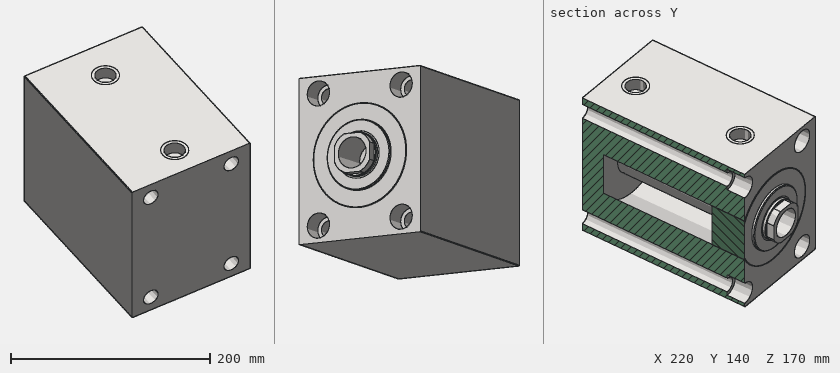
import cadquery as cq
import math


OVERALL_LENGTH = 220.0

BLOCK_LENGTH = 204.4
BLOCK_WIDTH = 140.0
BLOCK_HEIGHT = 170.0
EDGE_CHAMFER = 0.77

BOLT_SPACING_Y = 95.0
BOLT_SPACING_Z = 135.0
BOLT_HOLE_DIAMETER = 17.2
COUNTERBORE_DIAMETER = 25.5
COUNTERBORE_DEPTH = 22.0

PORT_FRONT_X = 41.8
PORT_SPACING = 131.5
PORT_POSITIONS = [PORT_FRONT_X, PORT_FRONT_X + PORT_SPACING]
PORT_DIAMETER = 21.3
PORT_DEPTH = 13.5
PORT_FEED_DIAMETER = 8.8
SPOT_FACE_DIAMETER = 28.2
SPOT_FACE_DEPTH = 0.2

GLAND_DIAMETER = 107.0
GLAND_END_X = PORT_FRONT_X
GLAND_CHAMFER = 0.7
FLANGE_DIAMETER = 72.2
FLANGE_HEIGHT = 3.3
FLANGE_CHAMFER = 0.9

BORE_DIAMETER = GLAND_DIAMETER
BORE_DEPTH = PORT_POSITIONS[-1] + PORT_FEED_DIAMETER / 2

ROD_DIAMETER = 48.5
ROD_TIP = BLOCK_LENGTH - OVERALL_LENGTH
COLLAR_DIAMETER = 45.0
COLLAR_CHAMFER = 0.7
NECK_DIAMETER = COLLAR_DIAMETER - 2 * COLLAR_CHAMFER
NECK_LENGTH = 8.5
FLAT_WIDTH = 40.0
SOCKET_DIAMETER = 31.7
SOCKET_DEPTH = 44.0
SOCKET_POINT_ANGLE = 118.0


def rod_cylinder(diameter, start_x, end_x):
    """Cylinder on the main axis between two X positions."""
    return cq.Workplane("YZ", origin=(start_x, 0, 0)).circle(diameter / 2).extrude(end_x - start_x)


def port_cutter(port_x):
    """Stepped port: shallow spot face, port bore and a feed hole that reaches the cylinder bore."""
    top = BLOCK_HEIGHT / 2
    steps = [
        (SPOT_FACE_DIAMETER, SPOT_FACE_DEPTH),
        (PORT_DIAMETER, PORT_DEPTH),
        (PORT_FEED_DIAMETER, top - ROD_DIAMETER / 2),
    ]
    cutter = cq.Workplane("XY")
    for diameter, depth in steps:
        step = cq.Workplane("XY", origin=(port_x, 0, top)).circle(diameter / 2).extrude(-depth)
        cutter = cutter.add(step)
    return cutter.combine()


def make_block():
    block = cq.Workplane("XY").box(BLOCK_LENGTH, BLOCK_WIDTH, BLOCK_HEIGHT, centered=(False, True, True))
    block = block.edges("|X").chamfer(EDGE_CHAMFER)
    block = block.cut(rod_cylinder(BORE_DIAMETER, 0, BORE_DEPTH))
    block = (
        block.faces("<X").workplane()
        .rarray(BOLT_SPACING_Y, BOLT_SPACING_Z, 2, 2)
        .cboreHole(BOLT_HOLE_DIAMETER, COUNTERBORE_DIAMETER, COUNTERBORE_DEPTH)
    )
    for port_x in PORT_POSITIONS:
        block = block.cut(port_cutter(port_x))
    return block


def make_gland():
    plug = rod_cylinder(GLAND_DIAMETER, 0, GLAND_END_X).faces("<X").chamfer(GLAND_CHAMFER)
    flange = rod_cylinder(FLANGE_DIAMETER, -FLANGE_HEIGHT, 0).faces("<X").chamfer(FLANGE_CHAMFER)
    return plug.union(flange).cut(rod_cylinder(ROD_DIAMETER, -FLANGE_HEIGHT, GLAND_END_X))


def make_socket_cutter():
    """Blind hole with a drill point in the rod tip."""
    bore_end = ROD_TIP + SOCKET_DEPTH
    radius = SOCKET_DIAMETER / 2
    point_length = radius / math.tan(math.radians(SOCKET_POINT_ANGLE / 2))
    return (
        cq.Workplane("XY")
        .moveTo(ROD_TIP, 0)
        .lineTo(ROD_TIP, radius)
        .lineTo(bore_end, radius)
        .lineTo(bore_end + point_length, 0)
        .close()
        .revolve(360, (0, 0, 0), (1, 0, 0))
    )


def make_rod():
    neck_end = ROD_TIP + NECK_LENGTH
    shaft = rod_cylinder(ROD_DIAMETER, -FLANGE_HEIGHT, BORE_DEPTH)
    collar = rod_cylinder(COLLAR_DIAMETER, neck_end, -FLANGE_HEIGHT).faces("<X").chamfer(COLLAR_CHAMFER)
    neck = rod_cylinder(NECK_DIAMETER, ROD_TIP, neck_end)
    flats = cq.Workplane("YZ", origin=(ROD_TIP, 0, 0)).rect(FLAT_WIDTH, FLAT_WIDTH).extrude(NECK_LENGTH)
    return shaft.union(collar).union(neck.intersect(flats)).cut(make_socket_cutter())


block = make_block()
gland = make_gland()
rod = make_rod()

result = cq.Compound.makeCompound([block.val(), gland.val(), rod.val()])